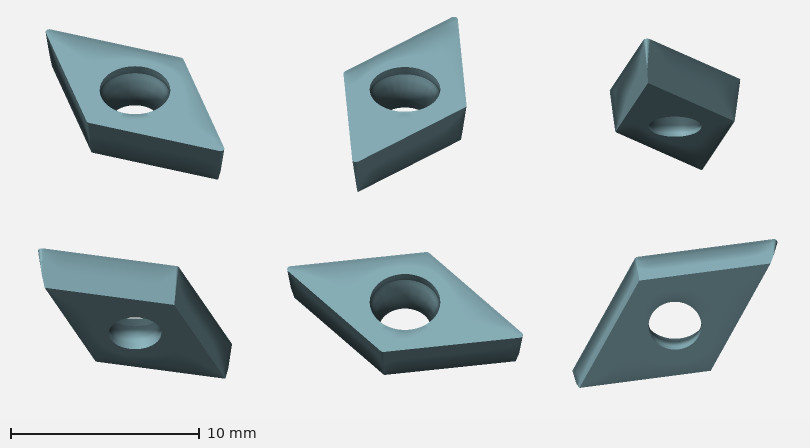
import cadquery as cq
import math

inscribed_circle = 6.35
thickness = 2.38
nose_angle = math.radians(55)
relief_angle = 7
nose_radius = 0.2

hole_diameter = 2.8
recess_diameter = 3.75
recess_depth = 0.5
seat_radius = 2.5

side_length = inscribed_circle / math.sin(nose_angle)
half_height = inscribed_circle / 2
half_lean = half_height / math.tan(nose_angle)
half_side = side_length / 2

corners = [
    (-half_side - half_lean, -half_height),
    (half_side - half_lean, -half_height),
    (half_side + half_lean, half_height),
    (-half_side + half_lean, half_height),
]

nose_depth = nose_radius / math.tan(math.radians(relief_angle))


def make_sharp_body():
    """Rhombic block with its top face at full size, narrowing downwards."""
    return (
        cq.Workplane("XY", origin=(0, 0, thickness))
        .polyline(corners)
        .close()
        .extrude(-thickness, taper=relief_angle)
    )


def make_nose_cutter(index):
    """Material outside the nose cone at one corner of the rhombus."""
    tip = cq.Vector(*corners[index])
    to_previous = (cq.Vector(*corners[index - 1]) - tip).normalized()
    to_next = (cq.Vector(*corners[index + 1]) - tip).normalized()
    half_angle = to_previous.getAngle(to_next) / 2
    tangent_length = nose_radius / math.tan(half_angle)
    bisector = (to_previous + to_next).normalized()

    center = tip + bisector * (nose_radius / math.sin(half_angle))
    kite = [center, tip + to_previous * tangent_length, tip, tip + to_next * tangent_length]
    corner_block = (
        cq.Workplane("XY", origin=(0, 0, thickness))
        .polyline([(point.x, point.y) for point in kite])
        .close()
        .extrude(-nose_depth)
    )
    cone = cq.Solid.makeCone(
        nose_radius,
        0,
        nose_depth,
        pnt=center + cq.Vector(0, 0, thickness),
        dir=cq.Vector(0, 0, -1),
    )
    return corner_block.cut(cq.Workplane(obj=cone))


def make_screw_hole():
    """Cylindrical recess, curved seat and through hole as one revolved solid."""
    hole_radius = hole_diameter / 2
    recess_radius = recess_diameter / 2
    seat_step = recess_radius - hole_radius
    seat_angle = math.acos(1 - seat_step / seat_radius)
    seat_top = thickness - recess_depth
    seat_bottom = seat_top - seat_radius * math.sin(seat_angle)
    seat_middle = (
        hole_radius + seat_radius * (1 - math.cos(seat_angle / 2)),
        seat_bottom + seat_radius * math.sin(seat_angle / 2),
    )
    return (
        cq.Workplane("XZ")
        .lineTo(hole_radius, 0)
        .lineTo(hole_radius, seat_bottom)
        .threePointArc(seat_middle, (recess_radius, seat_top))
        .lineTo(recess_radius, thickness)
        .lineTo(0, thickness)
        .close()
        .revolve(360, (0, 0, 0), (0, 1, 0))
    )


result = make_sharp_body()
for corner_index in (1, 2):
    nose_cutter = make_nose_cutter(corner_index)
    opposite_cutter = nose_cutter.rotate((0, 0, 0), (0, 0, 1), 180)
    result = result.cut(nose_cutter).cut(opposite_cutter)
result = result.cut(make_screw_hole())